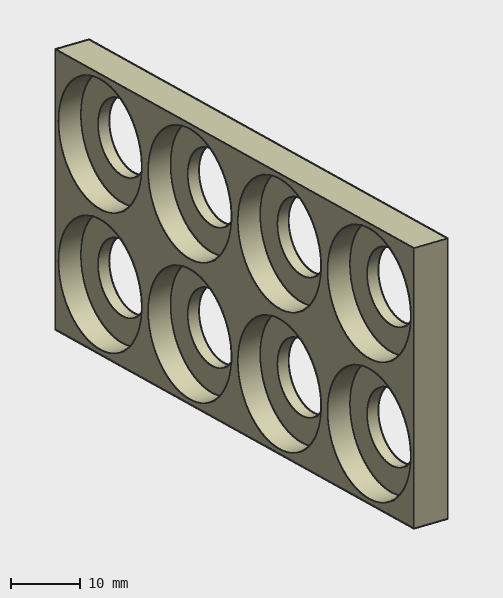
import cadquery as cq

columns = 4
rows = 2
length = 88.0
pitch = length / columns
height = rows * pitch
thickness = 6.0

hole_diameter = 12.0
recess_diameter = 20.4
recess_depth = 4.0

plate = cq.Workplane("XY").box(length, thickness, height)

result = (
    plate.copyWorkplane(cq.Workplane("XZ", origin=(0, -thickness / 2, 0)))
    .rarray(pitch, pitch, columns, rows)
    .cboreHole(hole_diameter, recess_diameter, recess_depth)
)